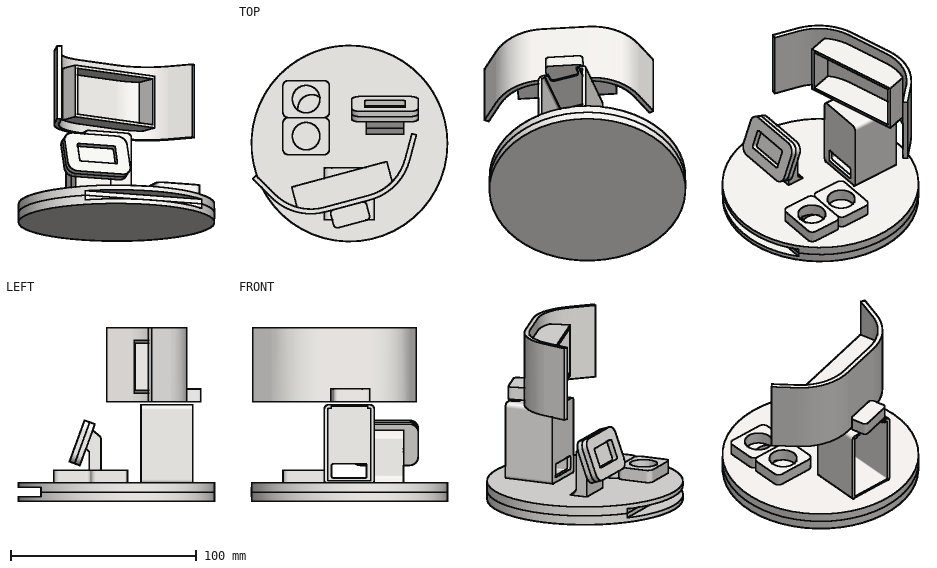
import cadquery as cq
import math

base_diameter = 105.7
base_height = 10.0
disc_height = base_height / 2
rim_slot_height = 5.0
rim_slot_depth = 12.0

socket_width = 25.1
socket_length = 20.0
socket_height = 6.8
socket_corner_radius = 3.0
socket_hole_diameter = 14.8
socket_x = -23.4
socket_joint_y = 14.0
cable_hole_x = -20.4
cable_hole_y = 18.9

sleeve_width = 27.1
sleeve_depth = 28.0
sleeve_x = -0.1
sleeve_front_y = -41.1
sleeve_top_z = 52.1
sleeve_sink = 1.0
sleeve_wall = 1.9
sleeve_corner_radius = 2.5
ceiling_groove_width = 19.7
ceiling_groove_depth = 1.0
thumb_notch_width = 16.0
thumb_notch_depth = 5.0
thumb_notch_radius = 2.0
window_width = 19.0
window_height = 7.5
window_bottom_z = 12.7
window_radius = 1.0

plate_width = 35.9
plate_length = 23.8
plate_thickness = 6.0
plate_half = plate_thickness / 2
plate_corner_radius = 5.0
plate_tilt = 20.0
plate_x = 19.1
plate_y = 18.5
plate_z = 31.5
pocket_width = 21.8
pocket_length = 11.0
pocket_corner_radius = 1.0

bracket_width = 20.1
bracket_front_y = 8.4
bracket_thickness = 6.3
bracket_slope = 40.0
bracket_bend_radius = 2.0
bracket_shoulder_z = 34.6
bracket_underside_z = 26.7
bracket_foot_z = 12.9

screen_turn = 15.0
screen_x = -1.0
screen_y = -33.6
screen_bottom_z = 53.6
screen_height = 40.0
screen_thickness = 2.5
screen_flat = 25.1
screen_outer_radius = 30.0
screen_bend = 60.0
screen_wing = 14.3

case_width = 53.1
case_back = 17.7
case_height = 28.3
case_bottom_z = 58.4
case_wall = 1.6

peg_width = 20.0
peg_depth = 10.0
peg_height = 7.0
peg_corner_radius = 2.0


def make_box(x_size, y_size, z_size, x_center, y_min, z_min):
    """Box centred in X, starting at the given Y and Z."""
    box = cq.Workplane("XY").box(x_size, y_size, z_size, centered=(True, False, False))
    return box.translate((x_center, y_min, z_min))


def make_disc(bottom_z):
    """One base disc, with its share of the slot across the rear rim."""
    disc = cq.Workplane("XY", origin=(0, 0, bottom_z)).circle(base_diameter / 2).extrude(disc_height)
    slot_front_y = base_diameter / 2 - rim_slot_depth
    slot_bottom_z = disc_height - rim_slot_height / 2
    return disc.cut(make_box(base_diameter, rim_slot_depth, rim_slot_height, 0, slot_front_y, slot_bottom_z))


def make_upper_disc():
    """Upper disc with the cable hole and the recess that takes the sleeve."""
    cable_hole = (
        cq.Workplane("XY", origin=(cable_hole_x, cable_hole_y, disc_height))
        .circle(socket_hole_diameter / 2)
        .extrude(disc_height)
    )
    return make_disc(disc_height).cut(cable_hole).cut(make_sleeve_block())


def make_socket(center_y):
    """Rounded block with a hole through it, standing on the base."""
    return (
        cq.Workplane("XY", origin=(socket_x, center_y, base_height))
        .rect(socket_width, socket_length)
        .extrude(socket_height)
        .edges("|Z")
        .fillet(socket_corner_radius)
        .faces(">Z")
        .workplane()
        .hole(socket_hole_diameter)
    )


def make_sleeve_block():
    """Outer shape of the sleeve, before it is hollowed."""
    bottom_z = base_height - sleeve_sink
    block = make_box(sleeve_width, sleeve_depth, sleeve_top_z - bottom_z, sleeve_x, sleeve_front_y, bottom_z)
    return block.edges("|Y").fillet(sleeve_corner_radius)


def make_sleeve():
    """Sleeve with a grooved ceiling, a thumb notch and a window in the back wall."""
    cavity_depth = sleeve_depth - sleeve_wall
    floor_z = base_height - sleeve_sink + sleeve_wall
    ceiling_z = sleeve_top_z - sleeve_wall
    cavity = make_box(
        sleeve_width - 2 * sleeve_wall, cavity_depth, ceiling_z - floor_z, sleeve_x, sleeve_front_y, floor_z
    )
    cavity = cavity.edges("|Y").fillet(sleeve_corner_radius - sleeve_wall)
    ceiling_groove = make_box(
        ceiling_groove_width, cavity_depth, ceiling_groove_depth, sleeve_x, sleeve_front_y, ceiling_z
    )
    thumb_notch = (
        make_box(thumb_notch_width, thumb_notch_depth, sleeve_wall, sleeve_x, sleeve_front_y, ceiling_z)
        .edges("|Z and >Y")
        .fillet(thumb_notch_radius)
    )
    back_wall_y = sleeve_front_y + cavity_depth
    window = (
        make_box(window_width, sleeve_wall, window_height, sleeve_x, back_wall_y, window_bottom_z)
        .edges("|Y")
        .fillet(window_radius)
    )
    return make_sleeve_block().cut(cavity).cut(ceiling_groove).cut(thumb_notch).cut(window)


def tilt_into_place(plate):
    """Move a plate built around the origin, facing +Y, to its tilted place."""
    return plate.rotate((0, 0, 0), (1, 0, 0), plate_tilt).translate((plate_x, plate_y, plate_z))


def make_plate_half(y_min):
    """One layer of the plate, upright, with rounded corners."""
    layer = make_box(plate_width, plate_half, plate_length, 0, y_min, -plate_length / 2)
    return layer.edges("|Y").fillet(plate_corner_radius)


def make_plate_cover():
    """Rear layer of the plate, with a rectangular opening through it."""
    opening = (
        make_box(pocket_width, plate_half, pocket_length, 0, 0, -pocket_length / 2)
        .edges("|Y")
        .fillet(pocket_corner_radius)
    )
    return tilt_into_place(make_plate_half(0).cut(opening))


def make_bracket():
    """Upright arm with a sloped top and a foot, reaching back to the plate."""
    slope = math.tan(math.radians(bracket_slope))
    back_y = bracket_front_y + bracket_thickness
    foot_y = bracket_front_y - (bracket_foot_z - base_height) / slope
    reach = plate_y - bracket_front_y
    outline = [
        (foot_y, base_height),
        (back_y, base_height),
        (back_y, bracket_underside_z),
        (plate_y, bracket_underside_z + (plate_y - back_y) * slope),
        (plate_y, bracket_shoulder_z + reach * slope),
        (bracket_front_y, bracket_shoulder_z),
        (bracket_front_y, bracket_foot_z),
    ]
    arm = (
        cq.Workplane("YZ", origin=(plate_x - bracket_width / 2, 0, 0))
        .polyline(outline)
        .close()
        .extrude(bracket_width)
    )
    for bend_z in (bracket_shoulder_z, bracket_foot_z):
        bend_edge = cq.selectors.NearestToPointSelector((plate_x, bracket_front_y, bend_z))
        arm = arm.edges(bend_edge).fillet(bracket_bend_radius)
    beyond_plate = make_box(2 * plate_width, plate_width, 2 * plate_length, 0, -plate_half, -plate_length)
    return arm.cut(tilt_into_place(beyond_plate))


def make_plate_stand():
    """Front layer of the plate together with the bracket that carries it."""
    return tilt_into_place(make_plate_half(-plate_half)).union(make_bracket())


def point_on_bend(radius, angle, side):
    """Point on a screen bend, at an angle from where the flat ends."""
    turn = math.radians(angle)
    return (
        side * (screen_flat / 2 + radius * math.sin(turn)),
        screen_outer_radius - radius * math.cos(turn),
    )


def wing_tip(radius, side):
    """End of the straight wing that follows a screen bend."""
    bend_x, bend_y = point_on_bend(radius, screen_bend, side)
    heading = math.radians(screen_bend)
    return (
        bend_x + side * screen_wing * math.cos(heading),
        bend_y + screen_wing * math.sin(heading),
    )


def make_screen_panel():
    """Flat centre, two bends and two straight wings, all of one thickness."""
    outer = screen_outer_radius
    inner = screen_outer_radius - screen_thickness
    half_bend = screen_bend / 2
    return (
        cq.Workplane("XY", origin=(0, 0, screen_bottom_z))
        .moveTo(*wing_tip(outer, -1))
        .lineTo(*point_on_bend(outer, screen_bend, -1))
        .threePointArc(point_on_bend(outer, half_bend, -1), point_on_bend(outer, 0, -1))
        .lineTo(*point_on_bend(outer, 0, 1))
        .threePointArc(point_on_bend(outer, half_bend, 1), point_on_bend(outer, screen_bend, 1))
        .lineTo(*wing_tip(outer, 1))
        .lineTo(*wing_tip(inner, 1))
        .lineTo(*point_on_bend(inner, screen_bend, 1))
        .threePointArc(point_on_bend(inner, half_bend, 1), point_on_bend(inner, 0, 1))
        .lineTo(*point_on_bend(inner, 0, -1))
        .threePointArc(point_on_bend(inner, half_bend, -1), point_on_bend(inner, screen_bend, -1))
        .lineTo(*wing_tip(inner, -1))
        .close()
        .extrude(screen_height)
    )


def make_screen_case():
    """Case behind the screen, open at the back; its front ends inside the panel."""
    middle = screen_outer_radius - screen_thickness / 2
    end_angle = math.degrees(math.asin((case_width - screen_flat) / 2 / middle))
    case = (
        cq.Workplane("XY", origin=(0, 0, case_bottom_z))
        .moveTo(-case_width / 2, case_back)
        .lineTo(*point_on_bend(middle, end_angle, -1))
        .threePointArc(point_on_bend(middle, end_angle / 2, -1), point_on_bend(middle, 0, -1))
        .lineTo(*point_on_bend(middle, 0, 1))
        .threePointArc(point_on_bend(middle, end_angle / 2, 1), point_on_bend(middle, end_angle, 1))
        .lineTo(case_width / 2, case_back)
        .close()
        .extrude(case_height)
    )
    cavity = make_box(
        case_width - 2 * case_wall, case_back, case_height - 2 * case_wall, 0, 0, case_bottom_z + case_wall
    )
    return case.cut(cavity)


def make_screen_peg():
    """Rounded peg on the front of the screen, level with its lower edge."""
    peg = make_box(peg_width, peg_depth, peg_height, 0, -peg_depth, screen_bottom_z)
    return peg.edges("|Z").fillet(peg_corner_radius)


def make_screen():
    """Panel, case and peg as one solid, turned about the vertical."""
    screen = make_screen_panel().union(make_screen_case()).union(make_screen_peg())
    return screen.rotate((0, 0, 0), (0, 0, 1), screen_turn).translate((screen_x, screen_y, 0))


lower_disc = make_disc(0)
upper_disc = make_upper_disc()
sockets = [make_socket(socket_joint_y + side * socket_length / 2) for side in (-1, 1)]
sleeve = make_sleeve()
plate_stand = make_plate_stand()
plate_cover = make_plate_cover()
screen = make_screen()

result = cq.Compound.makeCompound(
    [
        lower_disc.val(),
        upper_disc.val(),
        *[socket.val() for socket in sockets],
        sleeve.val(),
        plate_stand.val(),
        plate_cover.val(),
        screen.val(),
    ]
)